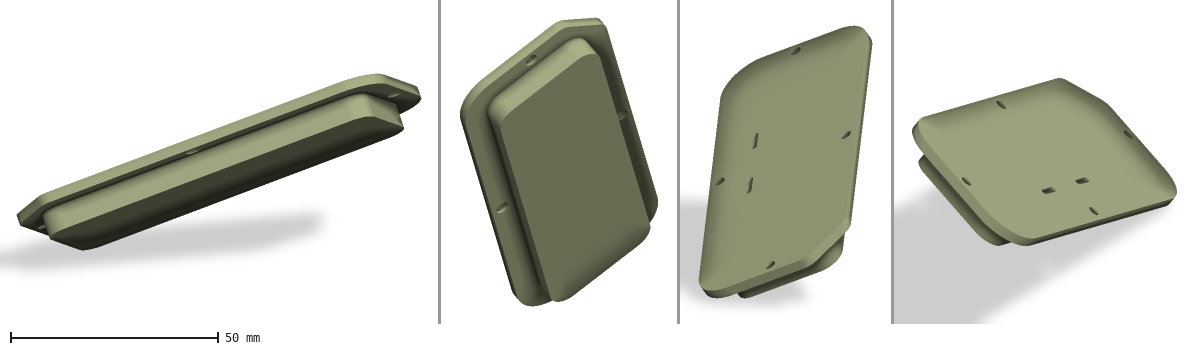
import cadquery as cq
import math

LONG_AZIMUTH = 20.4
LONG_ELEVATION = 22.0
SHORT_TILT = 23.6

PLATE_LENGTH = 96.8
PLATE_HEIGHT = 41.7
CORNER_RADIUS = 10.0
CUT_LEG = 10.6
CUT_RADIUS = 4.0

LID_THICKNESS = 1.5
FLANGE_THICKNESS = 1.0
BOX_DEPTH = 6.0
FLOOR_THICKNESS = 2.0

BOX_INSET = 6.0
BOX_RADIUS = 5.0
BOX_WALL = 4.0
CAVITY_INSET = BOX_INSET + BOX_WALL
CAVITY_RADIUS = BOX_RADIUS - BOX_WALL

LID_HOLE_DIAMETER = 2.8
FLANGE_HOLE_DIAMETER = 3.3
HOLE_INSET = 2.8

SLOT_LENGTH = 6.65
SLOT_WIDTH = 1.5
SLOT_SPACING = 18.95
SLOT_MIDDLE = 4.1
SLOT_OFFSET = 9.0

azimuth = math.radians(LONG_AZIMUTH)
elevation = math.radians(LONG_ELEVATION)
tilt = math.radians(SHORT_TILT)
long_dir = cq.Vector(
    math.cos(azimuth) * math.cos(elevation),
    math.sin(azimuth) * math.cos(elevation),
    math.sin(elevation),
)
short_dir = cq.Vector(0, math.cos(tilt), -math.sin(tilt))
normal = long_dir.cross(short_dir).normalized()

skew_sin = long_dir.dot(short_dir)
skew_cos = math.sqrt(1 - skew_sin**2)
skew_tan = skew_sin / skew_cos


def plane_at_depth(depth):
    """Work plane facing out of the lid, at a depth below the lid's top."""
    return cq.Plane(origin=normal * -depth, xDir=long_dir, normal=normal)


def skewed_corners(inset):
    """Corners of the plate's parallelogram moved inwards: lower left, lower right, upper right, upper left."""
    half_height = PLATE_HEIGHT / 2 - inset
    half_length = PLATE_LENGTH / 2 - inset / skew_cos
    lean = half_height * skew_tan
    return [
        (-half_length - lean, -half_height),
        (half_length - lean, -half_height),
        (half_length + lean, half_height),
        (-half_length + lean, half_height),
    ]


def skewed_block(depth, thickness, inset, radius):
    """Parallelogram block with four equal rounded corners."""
    block = cq.Workplane(plane_at_depth(depth)).polyline(skewed_corners(inset)).close().extrude(-thickness)
    return block.edges(cq.selectors.ParallelDirSelector(normal)).fillet(radius)


def cut_corner_plate(depth, thickness):
    """Full-size plate with three rounded corners and the lower left corner cut off."""
    lower_left, lower_right, upper_right, upper_left = skewed_corners(0)
    cut_end = (lower_left[0] + CUT_LEG, lower_left[1])
    cut_start = (lower_left[0] + CUT_LEG * skew_sin, lower_left[1] + CUT_LEG * skew_cos)
    outline = [cut_start, cut_end, lower_right, upper_right, upper_left]
    plane = plane_at_depth(depth)
    sharp_plate = cq.Workplane(plane).polyline(outline).close().extrude(-thickness).val()

    def round_edges(solid, points, radius):
        """Round the edges through the plate's thickness at the given outline points."""
        through_edges = cq.Workplane(solid).edges(cq.selectors.ParallelDirSelector(normal)).vals()
        middles = [plane.toWorldCoords((x, y, -thickness / 2)) for x, y in points]
        chosen = [min(through_edges, key=lambda edge: (edge.Center() - middle).Length) for middle in middles]
        return solid.fillet(radius, chosen)

    corner_plate = round_edges(sharp_plate, [lower_right, upper_right, upper_left], CORNER_RADIUS)
    return cq.Workplane(round_edges(corner_plate, [cut_start, cut_end], CUT_RADIUS))


def screw_holes(depth, thickness, diameter):
    """Four cylinders to cut, centred along each edge of the plate."""
    along = PLATE_LENGTH / 2 - HOLE_INSET
    across = PLATE_HEIGHT / 2 - HOLE_INSET
    lean = across * skew_tan
    centres = [(-along, 0), (along, 0), (lean, across), (-lean, -across)]
    return cq.Workplane(plane_at_depth(depth)).pushPoints(centres).circle(diameter / 2).extrude(-thickness)


def make_lid():
    """Flat cover with screw holes and two slots."""
    slot_centres = [(SLOT_MIDDLE + side * SLOT_SPACING / 2, SLOT_OFFSET) for side in (-1, 1)]
    slots = (
        cq.Workplane(plane_at_depth(0))
        .pushPoints(slot_centres)
        .slot2D(SLOT_LENGTH, SLOT_WIDTH)
        .extrude(-LID_THICKNESS)
    )
    holes = screw_holes(0, LID_THICKNESS, LID_HOLE_DIAMETER)
    return cut_corner_plate(0, LID_THICKNESS).cut(slots).cut(holes)


def make_tray():
    """Hollow box under a flange that matches the lid's outline."""
    flange = cut_corner_plate(LID_THICKNESS, FLANGE_THICKNESS)
    tray_depth = FLANGE_THICKNESS + BOX_DEPTH
    box = skewed_block(LID_THICKNESS, tray_depth, BOX_INSET, BOX_RADIUS)
    cavity = skewed_block(LID_THICKNESS, tray_depth - FLOOR_THICKNESS, CAVITY_INSET, CAVITY_RADIUS)
    holes = screw_holes(LID_THICKNESS, FLANGE_THICKNESS, FLANGE_HOLE_DIAMETER)
    return flange.cut(holes).union(box).cut(cavity)


lid = make_lid()
tray = make_tray()

result = cq.Compound.makeCompound([lid.val(), tray.val()])